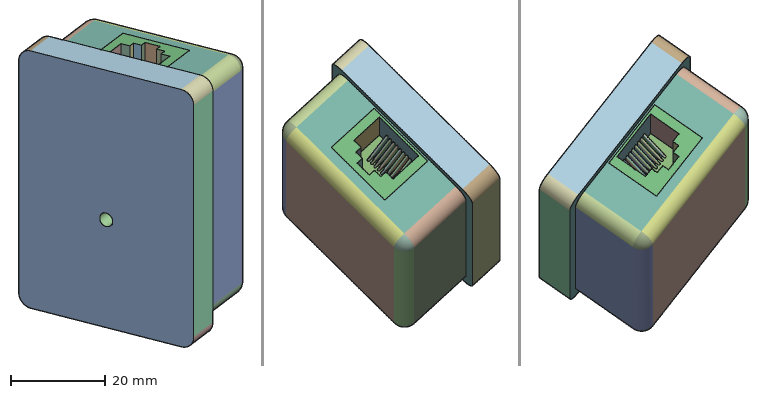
import cadquery as cq


base_width = 42.9
base_height = 60.7
base_thickness = 8.1
total_depth = 26.3
cover_width = 39.0
cover_height = 56.35
corner_radius = 3.05

hole_diameter = 3.15
hole_depth = 6.1
hole_z = -4.9

jack_width = 16.35
jack_back_y = 8.5
jack_front_y = 21.05
jack_length = 15.2
jack_top_z = cover_height / 2

opening_back_y = 9.05
opening_depth = 12.15
opening_steps = [(11.95, 16.5), (7.6, 18.05), (3.7, 19.55)]

contact_count = 8
contact_row_width = 7.7
contact_width = 0.565
contact_pitch = (contact_row_width - contact_width) / (contact_count - 1)
contact_front_y = 14.8
contact_height = 4.85
contact_rounding = 0.2


def box_between(width, back_y, front_y, top_z, length):
    """Block hanging down from top_z, centred on X = 0."""
    return cq.Workplane("XY").box(
        width, front_y - back_y, length, centered=(True, False, False)
    ).translate((0, back_y, top_z - length))


def make_screw_hole():
    return (
        cq.Workplane("XZ")
        .center(0, hole_z)
        .circle(hole_diameter / 2)
        .extrude(-hole_depth)
    )


def make_housing():
    base = box_between(base_width, 0, base_thickness, base_height / 2, base_height)
    base = base.edges("|Y").fillet(corner_radius)
    cover = box_between(cover_width, 0, total_depth, cover_height / 2, cover_height)
    cover = cover.edges("|Y or >Y").fillet(corner_radius)
    jack_recess = box_between(jack_width, jack_back_y, jack_front_y, jack_top_z, jack_length)
    return base.union(cover).cut(jack_recess).cut(make_screw_hole())


def make_contact(contact_x):
    floor_z = jack_top_z - opening_depth
    profile = [
        (opening_back_y, floor_z),
        (contact_front_y, floor_z),
        (opening_back_y, floor_z + contact_height),
    ]
    wedge = cq.Workplane("YZ").polyline(profile).close().extrude(contact_width / 2, both=True)
    wedge = wedge.faces(">(0, 1, 1)").edges("not |X").fillet(contact_rounding)
    return wedge.translate((contact_x, 0, 0))


def make_jack():
    jack = box_between(jack_width, jack_back_y, jack_front_y, jack_top_z, jack_length)
    for step_width, step_front_y in opening_steps:
        jack = jack.cut(
            box_between(step_width, opening_back_y, step_front_y, jack_top_z, opening_depth)
        )
    for index in range(contact_count):
        contact_x = (index - (contact_count - 1) / 2) * contact_pitch
        jack = jack.union(make_contact(contact_x))
    return jack


housing = make_housing()
jack = make_jack()

result = cq.Compound.makeCompound([housing.val(), jack.val()])